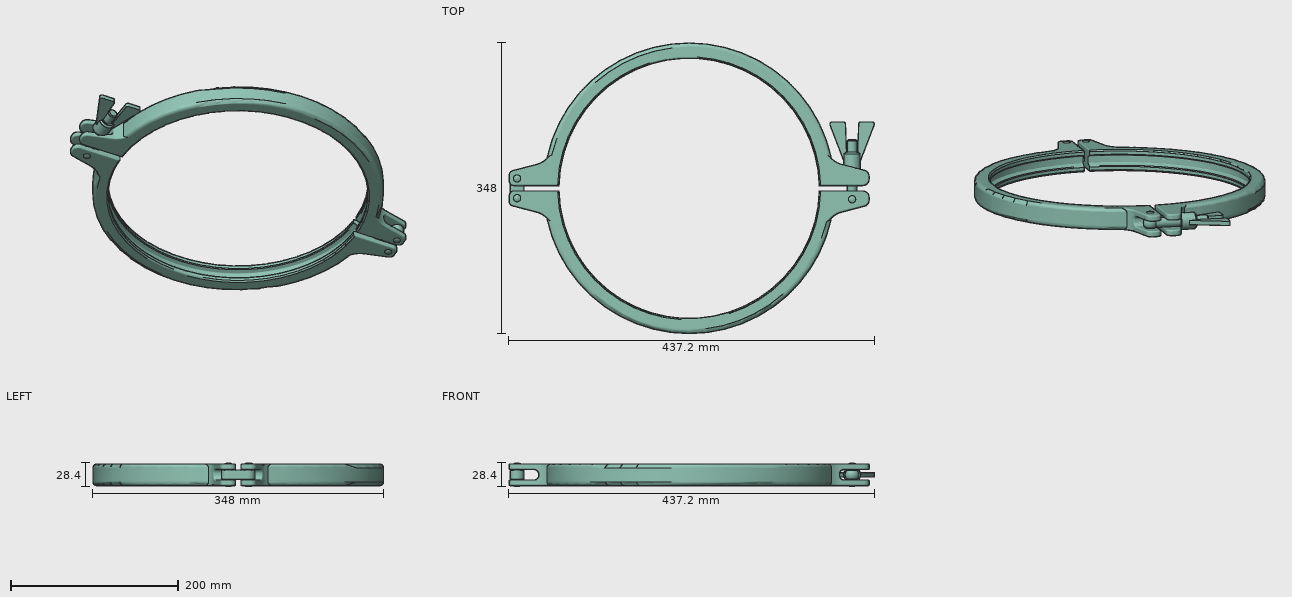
import cadquery as cq
import math

outer_radius = 174.0
bore_radius = 155.5
height = 26.2
half_height = height / 2
rim_fillet = 5.0
edge_fillet = 1.7
half_gap = 3.0

groove_radius = 161.7
groove_mouth_half = 6.5
groove_slope = 20.0
groove_fillet = 1.5

lug_end = 215.5
lug_end_y = 20.0
lug_slope = 14.5
blend_radius = 28.5
blend_base_radius = 169.5
stock_inner_radius = 148.5
ring_start_angle = 5.0
lug_root_angle = 25.0
hinge_corner_radius = 6.0
bolt_corner_radius = 8.0
slot_height = 12.2
slot_fillet = 5.2
slot_bottom = 180.0

hinge_x = -206.0
hinge_pin_y = 12.0
link_width = 16.5
link_thickness = 11.5
link_fillet = 1.7
pin_radius = 4.5
pin_dome_height = 1.1

bolt_x = 195.0
bolt_pin_y = -13.0
bolt_diameter = 12.0
bolt_radius = bolt_diameter / 2
bolt_tip_y = 58.0
bolt_tip_chamfer = 1.5
eye_radius = 8.5
eye_thickness = 10.5
nut_radius = 10.0
nut_bottom_y = 23.5
nut_top_y = 43.3
nut_chamfer = 2.0
wing_thickness = 5.2
wing_top_y = 79.5
wing_corner_radius = 2.85
wing_inner_x = 8.0
wing_root_x = 6.5
wing_tip_x = 28.0
wing_foot_y = 33.0

select_margin = 0.5


def on_circle(radius, degrees):
    """Point on a circle around the origin."""
    angle = math.radians(degrees)
    return (radius * math.cos(angle), radius * math.sin(angle))


def ring_half():
    """Upper half of the ring, with a plain bore and a rounded outer rim."""
    rim_start = outer_radius - rim_fillet
    rim_side = half_height - rim_fillet
    return (
        cq.Workplane("XZ")
        .moveTo(stock_inner_radius, half_height)
        .lineTo(rim_start, half_height)
        .radiusArc((outer_radius, rim_side), rim_fillet)
        .lineTo(outer_radius, -rim_side)
        .radiusArc((rim_start, -half_height), rim_fillet)
        .lineTo(stock_inner_radius, -half_height)
        .close()
        .revolve(180 - 2 * ring_start_angle, (0, 0), (0, 1))
        .rotate((0, 0, 0), (0, 0, 1), ring_start_angle)
    )


def lug(corner_radius):
    """Lug on the +X side of the upper half, running along the bore into the ring."""
    slope = math.radians(lug_slope)
    from_axis = lug_end * math.sin(slope) + lug_end_y * math.cos(slope) + blend_radius
    center_distance = blend_base_radius + blend_radius
    center_angle = math.degrees(math.asin(from_axis / center_distance)) - lug_slope
    center = cq.Vector(*on_circle(center_distance, center_angle))
    side_end = center + cq.Vector(*on_circle(blend_radius, 270 - lug_slope))
    blend_end = cq.Vector(*on_circle(blend_base_radius, center_angle))
    middle_angle = (270 - lug_slope + 180 + center_angle) / 2
    blend_middle = center + cq.Vector(*on_circle(blend_radius, middle_angle))

    inner_end = on_circle(stock_inner_radius, lug_root_angle)
    inner_start = (stock_inner_radius, half_gap)
    body = (
        cq.Workplane("XY")
        .workplane(offset=-half_height)
        .moveTo(*inner_start)
        .lineTo(lug_end, half_gap)
        .lineTo(lug_end, lug_end_y)
        .lineTo(side_end.x, side_end.y)
        .threePointArc(blend_middle.toTuple()[:2], blend_end.toTuple()[:2])
        .lineTo(*inner_end)
        .close()
        .extrude(height)
    )
    body = body.edges("|Z and >X").fillet(corner_radius).cut(lug_slot())
    slot_band = cq.selectors.BoxSelector(
        (bore_radius, 0, -slot_height), (lug_end + select_margin, outer_radius, slot_height)
    )
    mouth = body.edges("not(|Z or |Y)").edges(slot_band).add(body.edges("|Y and >X").edges(slot_band))
    body = body.newObject(mouth.vals()).fillet(edge_fillet)
    return body.faces("<Z or >Z").edges().fillet(edge_fillet)


def lug_slot():
    """Slot along Y, open at the lug end and with a rounded bottom."""
    length = lug_end + height - slot_bottom
    return (
        cq.Workplane("XZ", origin=(slot_bottom + length / 2, 0, 0))
        .rect(length, slot_height)
        .extrude(-outer_radius)
        .edges("|Y and <X")
        .fillet(slot_fillet)
    )


def bore_cutter():
    """Plug that cuts the bore, its rounded edges and the V-groove."""
    root_half = groove_mouth_half - (groove_radius - bore_radius) * math.tan(math.radians(groove_slope))
    flare_radius = bore_radius + edge_fillet
    land_half = half_height - edge_fillet
    plug = (
        cq.Workplane("XZ")
        .moveTo(0, half_height)
        .lineTo(flare_radius, half_height)
        .radiusArc((bore_radius, land_half), -edge_fillet)
        .lineTo(bore_radius, groove_mouth_half)
        .lineTo(groove_radius, root_half)
        .lineTo(groove_radius, -root_half)
        .lineTo(bore_radius, -groove_mouth_half)
        .lineTo(bore_radius, -land_half)
        .radiusArc((flare_radius, -half_height), -edge_fillet)
        .lineTo(0, -half_height)
        .close()
        .revolve(360, (0, 0), (0, 1))
    )
    reach = groove_mouth_half + select_margin
    groove_edges = cq.selectors.BoxSelector(
        (-select_margin, -select_margin, -reach), (select_margin, select_margin, reach)
    )
    return plug.edges("%CIRCLE").edges(groove_edges).fillet(groove_fillet)


def cylinder_along_y(x, radius, start_y, end_y):
    """Cylinder along Y in the middle plane of the clamp."""
    return cq.Workplane("XZ", origin=(x, start_y, 0)).circle(radius).extrude(start_y - end_y)


def pin_hole(x, y):
    """Cutter for a pin hole through the full height."""
    return cq.Workplane("XY").center(x, y).circle(pin_radius).extrude(half_height, both=True)


def clamp_half():
    """Upper half of the clamp with the hinge pin hole."""
    half = ring_half().union(lug(bolt_corner_radius))
    half = half.union(lug(hinge_corner_radius).mirror("YZ"))
    half = half.cut(bore_cutter())
    return half.cut(pin_hole(hinge_x, hinge_pin_y))


def nut_side_half():
    """Upper half, with a seat for the wing nut in the sloped side of its lug."""
    return clamp_half().cut(cylinder_along_y(bolt_x, nut_radius, nut_bottom_y, nut_top_y))


def bolt_side_half():
    """Lower half, with a hole for the pin of the eye bolt."""
    return clamp_half().mirror("XZ").cut(pin_hole(bolt_x, bolt_pin_y))


def dome_middle():
    """Point halfway along the dome's arc, from its tip to its rim."""
    dome_radius = (pin_radius**2 + pin_dome_height**2) / (2 * pin_dome_height)
    half_angle = math.asin(pin_radius / dome_radius) / 2
    center_z = half_height + pin_dome_height - dome_radius
    return (dome_radius * math.sin(half_angle), center_z + dome_radius * math.cos(half_angle))


def pin(x, y):
    """Pin along Z with domed ends."""
    tip_z = half_height + pin_dome_height
    dome_x, dome_z = dome_middle()
    return (
        cq.Workplane("XZ")
        .moveTo(0, tip_z)
        .threePointArc((dome_x, dome_z), (pin_radius, half_height))
        .lineTo(pin_radius, -half_height)
        .threePointArc((dome_x, -dome_z), (0, -tip_z))
        .close()
        .revolve(360, (0, 0), (0, 1))
        .translate((x, y, 0))
    )


def hinge_link():
    """Link with round ends that joins the two hinge pins."""
    link = (
        cq.Workplane("XY")
        .center(hinge_x, 0)
        .slot2D(2 * hinge_pin_y + link_width, link_width, 90)
        .extrude(link_thickness / 2, both=True)
        .faces("<Z or >Z")
        .edges()
        .fillet(link_fillet)
    )
    for y in (hinge_pin_y, -hinge_pin_y):
        link = link.cut(pin_hole(hinge_x, y))
    return link


def eye_bolt():
    """Bolt along Y with a flattened ball eye around its pin."""
    ball = cq.Workplane("XY").sphere(eye_radius)
    flats = cq.Workplane("XY").box(2 * eye_radius, 2 * eye_radius, eye_thickness)
    eye = ball.intersect(flats).translate((bolt_x, bolt_pin_y, 0))
    shank = cylinder_along_y(bolt_x, bolt_radius, bolt_pin_y, bolt_tip_y)
    shank = shank.faces(">Y").chamfer(bolt_tip_chamfer)
    return eye.union(shank).cut(pin_hole(bolt_x, bolt_pin_y))


def wing(side):
    """Flat wing of the nut; side is 1 for +X and -1 for -X."""
    return (
        cq.Workplane("XY")
        .workplane(offset=-wing_thickness / 2)
        .moveTo(0, wing_foot_y)
        .lineTo(side * nut_radius, wing_foot_y)
        .lineTo(side * wing_tip_x, wing_top_y)
        .lineTo(side * wing_inner_x, wing_top_y)
        .lineTo(side * wing_root_x, nut_top_y)
        .lineTo(0, nut_top_y)
        .close()
        .extrude(wing_thickness)
        .edges("|Z and >Y")
        .fillet(wing_corner_radius)
        .translate((bolt_x, 0, 0))
    )


def wing_nut():
    """Round nut with a wing on each side and a hole for the bolt."""
    nut = cylinder_along_y(bolt_x, nut_radius, nut_bottom_y, nut_top_y).faces(">Y").chamfer(nut_chamfer)
    for side in (1, -1):
        nut = nut.union(wing(side))
    return nut.cut(cylinder_along_y(bolt_x, bolt_radius, 0, bolt_tip_y))


pin_places = [(hinge_x, hinge_pin_y), (hinge_x, -hinge_pin_y), (bolt_x, bolt_pin_y)]
pins = [pin(x, y).val() for x, y in pin_places]

result = cq.Compound.makeCompound([
    nut_side_half().val(),
    bolt_side_half().val(),
    hinge_link().val(),
    eye_bolt().val(),
    wing_nut().val(),
    *pins,
])